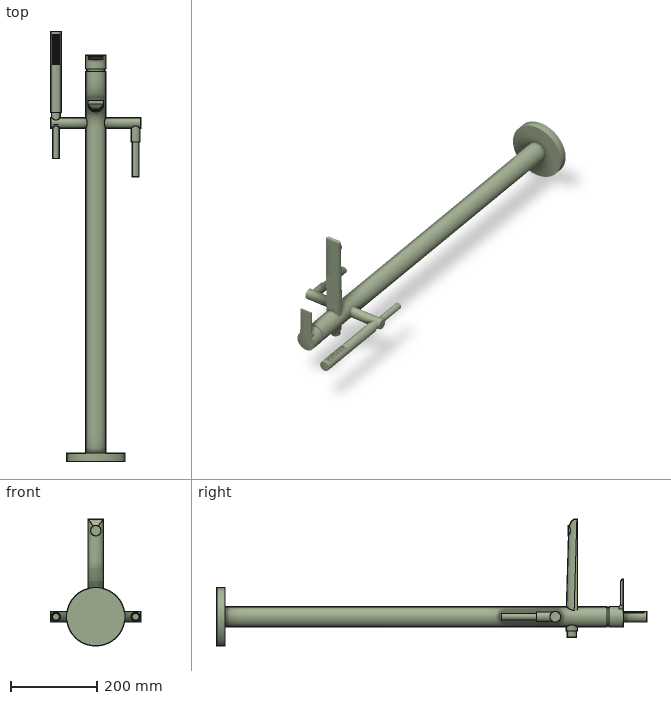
import cadquery as cq


base_diameter = 136.0
base_thickness = 20.0
column_diameter = 47.0
neck_diameter = 42.0
neck_start = 904.0
neck_length = 5.0
cap_diameter = 48.0
cap_top = 942.0

arm_diameter = 25.0
arm_span = 209.0
arm_y = 784.0
branch_x = arm_span / 2 - arm_diameter / 2
rod_diameter = 16.0
left_rod_end = 702.0
right_rod_end = 660.0
collar_diameter = 21.0
collar_end = 741.0
recess_diameter = 21.0
recess_floor_y = 780.0

shower_top = 997.0
shower_bottom = 808.0
shower_diameter = arm_diameter
holder_diameter = 21.0
spray_width = 17.0
spray_bottom = 920.0
spray_top = 990.0
nozzle_diameter = 2.0
nozzle_height = 2.5
nozzle_pitch = 3.4
nozzle_rows = 5
nozzles_per_row = 20

spout_width = 37.0
spout_top = 226.0
spout_back = 836.0
spout_front = 809.0
spout_tip_front = 815.0
spout_bevel_bottom = 205.0
spout_bevel_top_y = 828.0
bevel_bulge = 2.0
outlet_diameter = 24.0
outlet_z = 199.0
outlet_front_y = 814.0

stub_y = (spout_back + spout_front) / 2
stub_diameter = spout_back - spout_front
stub_bottom = -33.0
plug_diameter = 22.0
plug_bottom = -48.0

lever_width = 29.0
lever_thickness = 7.0
lever_corner = 5.0
lever_top = 88.0
lever_bevel_height = 7.0
lever_bevel_depth = 4.0
lever_foot = 3.0
lever_foot_width = 33.0


def rod_along_y(diameter, start, end, x=0):
    """Round bar parallel to Y between two Y positions."""
    return cq.Workplane("XZ", origin=(x, start, 0)).circle(diameter / 2).extrude(start - end)


def rod_along_z(diameter, start, end, y):
    """Round bar parallel to Z between two Z positions."""
    return cq.Workplane("XY", origin=(0, y, start)).circle(diameter / 2).extrude(end - start)


def make_column():
    neck_end = neck_start + neck_length
    return (
        rod_along_y(base_diameter, 0, base_thickness)
        .union(rod_along_y(column_diameter, 0, neck_start))
        .union(rod_along_y(neck_diameter, neck_start, neck_end))
        .union(rod_along_y(cap_diameter, neck_end, cap_top))
    )


def make_arms():
    bar = (
        cq.Workplane("YZ", origin=(-arm_span / 2, arm_y, 0))
        .circle(arm_diameter / 2)
        .extrude(arm_span)
    )
    recess = rod_along_y(recess_diameter, arm_y - arm_diameter, recess_floor_y, -branch_x)
    return (
        bar.cut(recess)
        .union(rod_along_y(rod_diameter, left_rod_end, arm_y, -branch_x))
        .union(rod_along_y(collar_diameter, collar_end, arm_y, branch_x))
        .union(rod_along_y(rod_diameter, right_rod_end, arm_y, branch_x))
    )


def make_hand_shower():
    handle = rod_along_y(shower_diameter, shower_bottom, shower_top, -branch_x)
    holder = rod_along_y(holder_diameter, arm_y, shower_bottom, -branch_x)

    radius = shower_diameter / 2
    flat_z = (radius**2 - (spray_width / 2) ** 2) ** 0.5
    spray_y = (spray_bottom + spray_top) / 2
    face = cq.Workplane("XY", origin=(-branch_x, spray_y, flat_z))
    flat = face.rect(shower_diameter, spray_top - spray_bottom).extrude(radius)
    nozzles = (
        face.rarray(nozzle_pitch, nozzle_pitch, nozzle_rows, nozzles_per_row)
        .circle(nozzle_diameter / 2)
        .extrude(nozzle_height)
    )
    return handle.cut(flat).union(nozzles).union(holder)


def make_spout():
    radius = spout_width / 2
    lean = (spout_tip_front - spout_front) * spout_top / spout_bevel_bottom
    bar = (
        cq.Workplane("XY", origin=(0, spout_front + radius, 0))
        .circle(radius)
        .workplane(offset=spout_top)
        .center(0, lean)
        .circle(radius)
        .loft(ruled=True)
    )

    bevel_middle = (
        (spout_tip_front + spout_bevel_top_y) / 2 - bevel_bulge,
        (spout_bevel_bottom + spout_top) / 2 + bevel_bulge,
    )
    profile = (
        cq.Workplane("YZ")
        .moveTo(spout_back, 0)
        .lineTo(spout_front, 0)
        .lineTo(spout_tip_front, spout_bevel_bottom)
        .threePointArc(bevel_middle, (spout_bevel_top_y, spout_top))
        .lineTo(spout_back, spout_top)
        .close()
        .extrude(radius, both=True)
    )
    spout = bar.intersect(profile)

    outlet = rod_along_y(outlet_diameter, outlet_front_y, spout_bevel_top_y)
    outlet = outlet.translate((0, 0, outlet_z))
    return spout.union(outlet)


def make_stub():
    return rod_along_z(stub_diameter, stub_bottom, 0, stub_y).union(
        rod_along_z(plug_diameter, plug_bottom, 0, stub_y)
    )


def make_lever():
    front = cap_top - lever_thickness
    blade = (
        cq.Workplane("XY")
        .center(0, cap_top - lever_thickness / 2)
        .rect(lever_width, lever_thickness)
        .extrude(lever_top)
        .edges("|Z and <Y")
        .fillet(lever_corner)
    )
    bevel = (
        cq.Workplane("YZ")
        .moveTo(front, lever_top)
        .lineTo(front, lever_top - lever_bevel_height)
        .lineTo(front + lever_bevel_depth, lever_top)
        .close()
        .extrude(lever_width, both=True)
    )
    cap_radius = cap_diameter / 2
    foot = (
        cq.Workplane("YZ")
        .moveTo(cap_top, 0)
        .lineTo(front - lever_foot, 0)
        .lineTo(front - lever_foot, cap_radius)
        .lineTo(front, cap_radius + lever_foot)
        .lineTo(cap_top, cap_radius + lever_foot)
        .close()
        .extrude(lever_foot_width / 2, both=True)
    )
    return blade.cut(bevel).union(foot)


result = make_column()
for component in (make_arms(), make_hand_shower(), make_spout(), make_stub(), make_lever()):
    result = result.union(component)